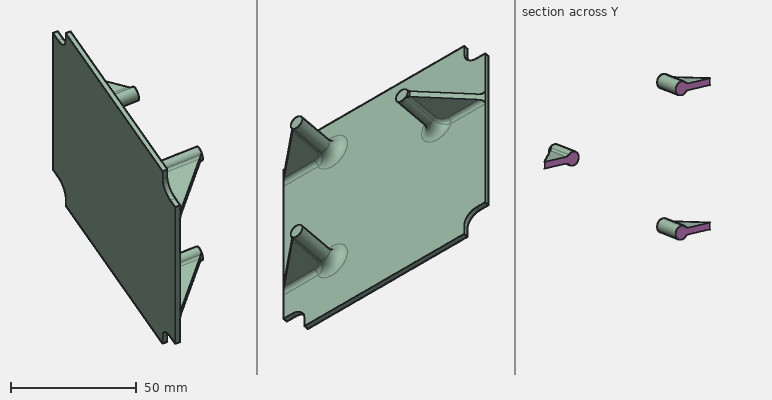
import cadquery as cq

plate_size = 104.0
plate_thickness = 2.2
overall_depth = 24.0
notch_size = 10.8
notch_radius = 6.5

post_radius = 3.0
post_height = overall_depth - plate_thickness
flare_radius = 5.0
post_offset = 27.1
upper_right_z = 35.7
left_z = 17.0
lower_right_z = -24.4

rib_thickness = 3.0
rib_height_at_post = 20.5
rib_fillet = 2.0

half_plate = plate_size / 2
rib_run = half_plate - post_offset
margin = 5.2


def make_plate():
    """Square plate with a rounded notch at each corner."""
    plate = cq.Workplane("XY").box(plate_size, plate_thickness, plate_size, centered=(True, False, True))
    for x in (-half_plate, half_plate):
        for z in (-half_plate, half_plate):
            notch = (
                cq.Workplane("XY")
                .box(2 * notch_size, 3 * plate_thickness, 2 * notch_size)
                .edges("|Y")
                .fillet(notch_radius)
                .translate((x, 0, z))
            )
            plate = plate.cut(notch)
    return plate


def make_post():
    """Round post along +Y from the origin, flared where it meets the plate."""
    flare_foot = post_radius + flare_radius
    arc_offset = flare_radius * (1 - 0.5**0.5)
    return (
        cq.Workplane("XY")
        .moveTo(0, -plate_thickness)
        .lineTo(flare_foot, -plate_thickness)
        .lineTo(flare_foot, 0)
        .threePointArc((post_radius + arc_offset, arc_offset), (post_radius, flare_radius))
        .lineTo(post_radius, post_height)
        .lineTo(0, post_height)
        .close()
        .revolve(360, (0, 0, 0), (0, 1, 0))
    )


def make_standoff():
    """Post at the origin with a rib toward +X, blended into post and plate."""
    pad_length = 2 * (rib_run + margin)
    pad = cq.Workplane("XY").box(pad_length, plate_thickness, pad_length).translate((0, -plate_thickness / 2, 0))
    rib = cq.Workplane("XY").box(
        rib_run + margin, post_height, rib_thickness, centered=(False, False, True)
    )
    post = make_post()
    blended = pad.union(post).union(rib)

    rib_side = rib_thickness / 2
    tolerance = 0.01
    joint_box = cq.selectors.BoxSelector(
        (post_radius / 2, -tolerance, -rib_side - tolerance),
        (rib_run + margin - tolerance, post_height - tolerance, rib_side + tolerance),
    )
    blended = blended.edges(joint_box).fillet(rib_fillet)

    slope = rib_height_at_post / (rib_run - post_radius)
    top = post_height + margin
    bottom = -plate_thickness - margin
    above_slope = (
        cq.Workplane("XY")
        .moveTo(rib_run - top / slope, top)
        .lineTo(rib_run, 0)
        .lineTo(rib_run, bottom)
        .lineTo(pad_length, bottom)
        .lineTo(pad_length, top)
        .close()
        .extrude(pad_length, both=True)
    )

    return blended.cut(above_slope).union(post).cut(pad)


standoff = make_standoff().translate((post_offset, plate_thickness, 0))
result = make_plate()
for z in (upper_right_z, lower_right_z):
    result = result.union(standoff.translate((0, 0, z)))
result = result.union(standoff.mirror("YZ").translate((0, 0, left_z)))